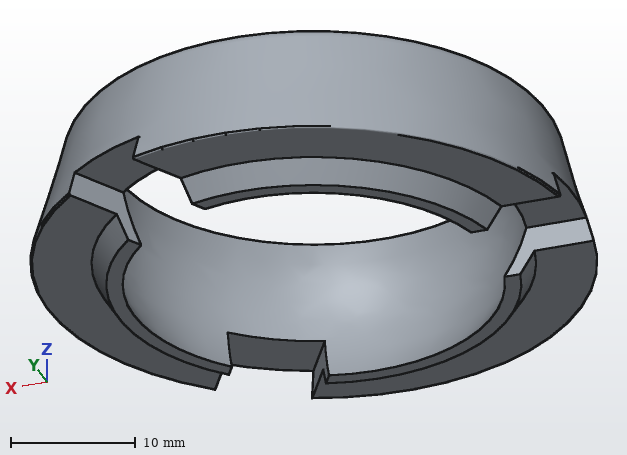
import cadquery as cq

height = 12.75
skirt_bottom = 1.9
notch_top = 4.15

skirt_top_radius = 19.8
skirt_bottom_radius = 22.8
top_rounding = 1.35
bottom_rounding = 0.15

collar_bottom_radius = 16.65
collar_top_radius = 17.85

bore_bottom_radius = 15.35
bore_notch_radius = 17.15
bore_top_radius = 16.75

notch_count = 3
notch_width = 7.92
first_notch_angle = 60.0
notch_length = 1.2 * skirt_bottom_radius


def revolve_about_z(profile):
    return profile.close().revolve(360, (0, 0), (0, 1))


def make_skirt():
    corners = [
        (0, skirt_bottom),
        (skirt_bottom_radius, skirt_bottom),
        (skirt_top_radius, height),
        (0, height),
    ]
    skirt = revolve_about_z(cq.Workplane("XZ").polyline(corners))
    skirt = skirt.faces(">Z").edges().fillet(top_rounding)
    return skirt.faces("<Z").edges().fillet(bottom_rounding)


def make_collar():
    corners = [
        (0, 0),
        (collar_bottom_radius, 0),
        (collar_top_radius, skirt_bottom),
        (0, skirt_bottom),
    ]
    return revolve_about_z(cq.Workplane("XZ").polyline(corners))


def make_bore():
    profile = (
        cq.Workplane("XZ")
        .lineTo(bore_bottom_radius, 0)
        .threePointArc((bore_notch_radius, notch_top), (bore_top_radius, height))
        .lineTo(0, height)
    )
    return revolve_about_z(profile)


def make_notch(angle):
    notch = cq.Workplane("XY").box(notch_length, notch_width, notch_top, centered=(False, True, False))
    return notch.rotate((0, 0, 0), (0, 0, 1), angle)


result = make_skirt().union(make_collar()).cut(make_bore())
for index in range(notch_count):
    result = result.cut(make_notch(first_notch_angle + index * 360 / notch_count))